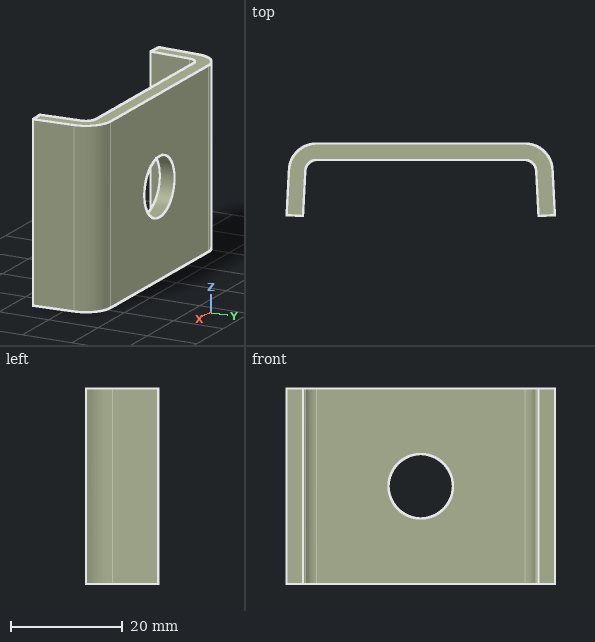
import cadquery as cq
import math

width = 48.05
depth = 13.0
height = 35.0
thickness = 3.0
inner_radius = 2.0
hole_diameter = 11.5
splay = math.radians(3)

outer_radius = inner_radius + thickness
bend_y = -outer_radius
flange_length = (depth - outer_radius + inner_radius * math.sin(splay)) / math.cos(splay)
bend_x = width / 2 - outer_radius * math.cos(splay) - flange_length * math.sin(splay)


def bend_point(radius, angle):
    """Point on the right-hand bend, with the angle measured from +X."""
    return (bend_x + radius * math.cos(angle), bend_y + radius * math.sin(angle))


def flange_tip(radius):
    """End of the straight flange face tangent to the bend of this radius."""
    x, y = bend_point(radius, splay)
    return (x + flange_length * math.sin(splay), y - flange_length * math.cos(splay))


def half_channel():
    """Right half of the bent strip, from the X = 0 plane to the flange tip."""
    bend_middle = (splay + math.pi / 2) / 2
    return (
        cq.Workplane("XY")
        .moveTo(0, 0)
        .lineTo(bend_x, 0)
        .threePointArc(bend_point(outer_radius, bend_middle), bend_point(outer_radius, splay))
        .lineTo(*flange_tip(outer_radius))
        .lineTo(*flange_tip(inner_radius))
        .lineTo(*bend_point(inner_radius, splay))
        .threePointArc(bend_point(inner_radius, bend_middle), (bend_x, -thickness))
        .lineTo(0, -thickness)
        .close()
        .extrude(height / 2, both=True)
    )


right_half = half_channel()
channel = right_half.union(right_half.mirror("YZ")).clean()

hole = cq.Workplane("XZ").circle(hole_diameter / 2).extrude(thickness)
result = channel.cut(hole)